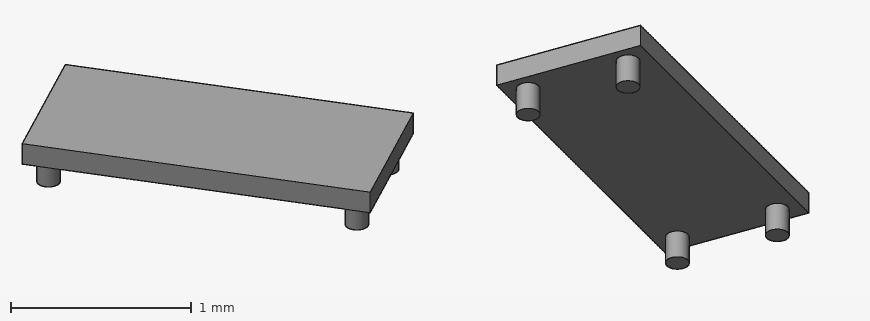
import cadquery as cq

length = 2.0
width = 0.9
height = 0.3

plate_thickness = 0.132
foot_diameter = 0.132
foot_spacing_x = 1.772
foot_spacing_y = 0.625
foot_height = height - plate_thickness

plate = (
    cq.Workplane("XY")
    .workplane(offset=foot_height)
    .rect(length, width)
    .extrude(plate_thickness)
)

feet = (
    cq.Workplane("XY")
    .rect(foot_spacing_x, foot_spacing_y, forConstruction=True)
    .vertices()
    .circle(foot_diameter / 2)
    .extrude(foot_height)
)

result = plate.union(feet)